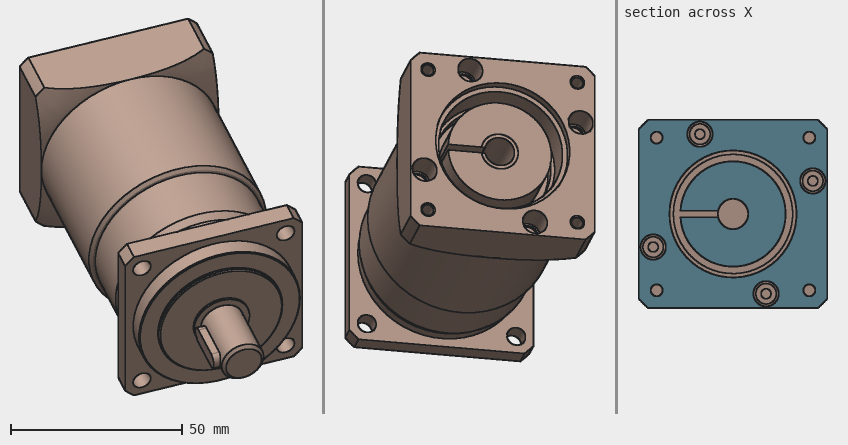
import cadquery as cq
import math

SQUARE = 55.0
LENGTH = 117.0
HALF_SQUARE = SQUARE / 2
CORNER_RADIUS = 37.0
CORNER_HOLE_PITCH_RADIUS = 63.0 / 2

ADAPTER_CORNER_LENGTH = 13.8
ADAPTER_LENGTH = 18.9
ADAPTER_BULGE_POINT = (17.1, 32.1)
PILOT_RADIUS = 20.0
PILOT_DEPTH = 3.0
CAVITY_RADIUS = 18.5
CAVITY_DEPTH = 14.0
INNER_CAVITY_RADIUS = 17.4
INNER_CAVITY_DEPTH = 18.0
MOUNT_TAP_RADIUS = 1.7
MOUNT_TAP_DEPTH = 10.0
MOUNT_TAP_CHAMFER = 0.4

SCREW_PITCH_RADIUS = 25.2
SCREW_FIRST_ANGLE = 67.5
SCREW_BORE_RADIUS = 3.65
SCREW_BORE_DEPTH = 10.0
SCREW_SEAT_RADIUS = 3.0
SCREW_SEAT_DEPTH = 11.0
SCREW_SOCKET_RADIUS = 1.45
SCREW_SOCKET_DEPTH = 13.0

HUB_RADIUS = 15.4
HUB_FACE = 4.1
HUB_BORE_RADIUS = 4.4
HUB_RELIEF_RADIUS = 5.5
HUB_RELIEF_DEPTH = 0.1
HUB_BORE_DEPTH = 30.0
HUB_SLOT_WIDTH = 1.8

RING_GEAR_END = 60.8
RING_GEAR_CHAMFER = 1.0
REAR_HOUSING_RADIUS = 26.0
REAR_HOUSING_START = 61.1
REAR_HOUSING_END = 78.6
NECK_START = 81.4
NECK_RADIUS = 25.0

FLANGE_START = 85.1
FLANGE_THICKNESS = 6.0
FLANGE_HOLE_RADIUS = 2.75
OUTPUT_PILOT_END = 96.3
OUTPUT_PILOT_CHAMFER = 0.3
COVER_RADIUS = 19.2
COVER_END = 97.4
COVER_CHAMFER = 0.4
SHAFT_COLLAR_RADIUS = 8.6
SHAFT_COLLAR_END = 98.1
SHAFT_RADIUS = 6.5
SHAFT_CHAMFER = 1.0

KEY_WIDTH = 5.0
KEY_LENGTH = 16.0
KEY_START = 98.9
KEY_TOP = 8.5
KEY_HEIGHT = 5.0


def cylinder(radius, start, end, y=0.0, z=0.0):
    """Cylinder along X between two stations."""
    return cq.Workplane("YZ", origin=(start, y, z)).circle(radius).extrude(end - start)


def square_plate(start, end):
    return cq.Workplane("YZ", origin=(start, 0, 0)).rect(SQUARE, SQUARE).extrude(end - start)


def countersink(hole_radius, size, y, z):
    """45 degree cone that widens a hole edge by `size` at the motor face."""
    cone = cq.Solid.makeCone(
        hole_radius + size, hole_radius, size, cq.Vector(0, y, z), cq.Vector(1, 0, 0)
    )
    return cq.Workplane(obj=cone)


def polar_positions(radius, first_angle):
    """Four (y, z) positions spaced evenly around the axis."""
    angles = [math.radians(first_angle + 90 * i) for i in range(4)]
    return [(radius * math.cos(a), radius * math.sin(a)) for a in angles]


def make_adapter():
    envelope = (
        cq.Workplane("XY")
        .lineTo(0, CORNER_RADIUS)
        .lineTo(ADAPTER_CORNER_LENGTH, CORNER_RADIUS)
        .threePointArc(ADAPTER_BULGE_POINT, (ADAPTER_LENGTH, HALF_SQUARE))
        .lineTo(ADAPTER_LENGTH, 0)
        .close()
        .revolve(360, (0, 0, 0), (1, 0, 0))
    )
    return square_plate(0, ADAPTER_LENGTH).intersect(envelope)


def make_housing():
    """Turned body from the adapter to the end of the output shaft."""
    outline = [
        (ADAPTER_LENGTH, 0),
        (ADAPTER_LENGTH, HALF_SQUARE),
        (RING_GEAR_END - RING_GEAR_CHAMFER, HALF_SQUARE),
        (RING_GEAR_END, HALF_SQUARE - RING_GEAR_CHAMFER),
        (REAR_HOUSING_START, REAR_HOUSING_RADIUS),
        (REAR_HOUSING_END, REAR_HOUSING_RADIUS),
        (NECK_START, NECK_RADIUS),
        (OUTPUT_PILOT_END - OUTPUT_PILOT_CHAMFER, NECK_RADIUS),
        (OUTPUT_PILOT_END, NECK_RADIUS - OUTPUT_PILOT_CHAMFER),
        (OUTPUT_PILOT_END, COVER_RADIUS),
        (COVER_END - COVER_CHAMFER, COVER_RADIUS),
        (COVER_END, COVER_RADIUS - COVER_CHAMFER),
        (COVER_END, SHAFT_COLLAR_RADIUS),
        (SHAFT_COLLAR_END, SHAFT_COLLAR_RADIUS),
        (SHAFT_COLLAR_END, SHAFT_RADIUS),
        (LENGTH - SHAFT_CHAMFER, SHAFT_RADIUS),
        (LENGTH, SHAFT_RADIUS - SHAFT_CHAMFER),
        (LENGTH, 0),
    ]
    return cq.Workplane("XY").polyline(outline).close().revolve(360, (0, 0, 0), (1, 0, 0))


def make_flange():
    end = FLANGE_START + FLANGE_THICKNESS
    flange = square_plate(FLANGE_START, end).intersect(cylinder(CORNER_RADIUS, FLANGE_START, end))
    for y, z in polar_positions(CORNER_HOLE_PITCH_RADIUS, 45):
        flange = flange.cut(cylinder(FLANGE_HOLE_RADIUS, FLANGE_START, end, y, z))
    return flange


def make_key():
    """Round-ended key on the -Y side of the shaft."""
    return (
        cq.Workplane("XZ", origin=(KEY_START + KEY_LENGTH / 2, KEY_HEIGHT - KEY_TOP, 0))
        .slot2D(KEY_LENGTH, KEY_WIDTH)
        .extrude(KEY_HEIGHT)
    )


def cut_cavity(body):
    body = body.cut(cylinder(PILOT_RADIUS, 0, PILOT_DEPTH))
    body = body.cut(cylinder(CAVITY_RADIUS, 0, CAVITY_DEPTH))
    return body.cut(cylinder(INNER_CAVITY_RADIUS, 0, INNER_CAVITY_DEPTH))


def make_hub():
    hub = cylinder(HUB_RADIUS, HUB_FACE, INNER_CAVITY_DEPTH)
    slot = cq.Workplane("XY").box(
        INNER_CAVITY_DEPTH, HUB_RADIUS, HUB_SLOT_WIDTH, centered=(False, False, True)
    )
    return hub.cut(slot)


def cut_hub_bore(body):
    body = body.cut(cylinder(HUB_BORE_RADIUS, HUB_FACE, HUB_BORE_DEPTH))
    return body.cut(cylinder(HUB_RELIEF_RADIUS, HUB_FACE, HUB_FACE + HUB_RELIEF_DEPTH))


def cut_mount_taps(body):
    for y, z in polar_positions(CORNER_HOLE_PITCH_RADIUS, 45):
        body = body.cut(cylinder(MOUNT_TAP_RADIUS, 0, MOUNT_TAP_DEPTH, y, z))
        body = body.cut(countersink(MOUNT_TAP_RADIUS, MOUNT_TAP_CHAMFER, y, z))
    return body


def cut_screw_holes(body):
    for y, z in polar_positions(SCREW_PITCH_RADIUS, SCREW_FIRST_ANGLE):
        body = body.cut(cylinder(SCREW_BORE_RADIUS, 0, SCREW_BORE_DEPTH, y, z))
        body = body.cut(cylinder(SCREW_SEAT_RADIUS, 0, SCREW_SEAT_DEPTH, y, z))
        body = body.cut(cylinder(SCREW_SOCKET_RADIUS, 0, SCREW_SOCKET_DEPTH, y, z))
    return body


body = make_adapter().union(make_housing())
body = cut_cavity(body).union(make_hub())
body = cut_hub_bore(body)
body = cut_mount_taps(body)
body = cut_screw_holes(body)
result = body.union(make_flange()).union(make_key())